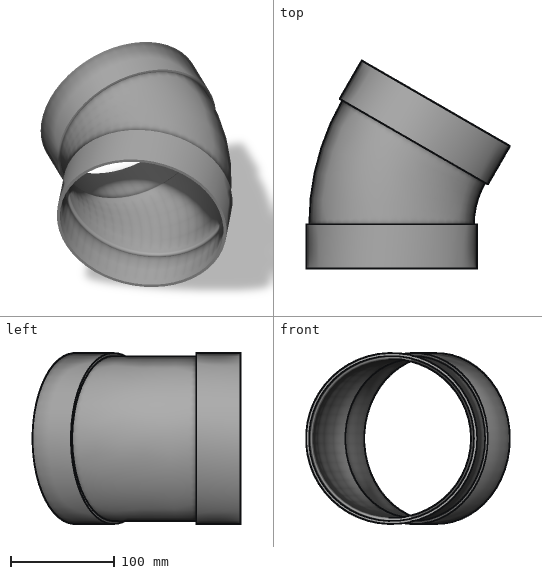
import cadquery as cq
import math

socket_outer_diameter = 166.0
socket_bore_diameter = 160.0
socket_length = 43.0
overall_length = 201.7
bend_angle = 30

wall = (socket_outer_diameter - socket_bore_diameter) / 2
socket_outer_radius = socket_outer_diameter / 2
socket_bore_radius = socket_bore_diameter / 2
bend_outer_radius = socket_bore_radius
bend_bore_radius = bend_outer_radius - wall

sine = math.sin(math.radians(bend_angle))
cosine = math.cos(math.radians(bend_angle))
sockets_reach = socket_length * (1 + cosine)
outlet_rim_reach = socket_outer_radius * sine
bend_radius = (overall_length - sockets_reach - outlet_rim_reach) / sine


def socket():
    """Socket about the Y axis, mouth at Y = 0, with a quarter-round stop lip at its inner end."""
    arc_reach = wall * math.sqrt(0.5)
    return (
        cq.Workplane("XY")
        .moveTo(socket_bore_radius, 0)
        .lineTo(socket_outer_radius, 0)
        .lineTo(socket_outer_radius, socket_length)
        .lineTo(bend_bore_radius, socket_length)
        .threePointArc(
            (socket_bore_radius - arc_reach, socket_length - arc_reach),
            (socket_bore_radius, socket_length - wall),
        )
        .close()
        .revolve(360, (0, 0, 0), (0, 1, 0))
    )


def bend():
    """Curved tube that starts along +Y at the inlet socket and turns towards +X."""
    return (
        cq.Workplane("XZ", origin=(0, socket_length, 0))
        .circle(bend_outer_radius)
        .circle(bend_bore_radius)
        .revolve(bend_angle, (bend_radius, 2, 0), (bend_radius, 0, 0))
    )


inlet_socket = socket()

outlet_socket = (
    inlet_socket
    .mirror("XZ", (0, socket_length, 0))
    .rotate((bend_radius, socket_length, 0), (bend_radius, socket_length, 1), -bend_angle)
)

result = bend().union(inlet_socket).union(outlet_socket)